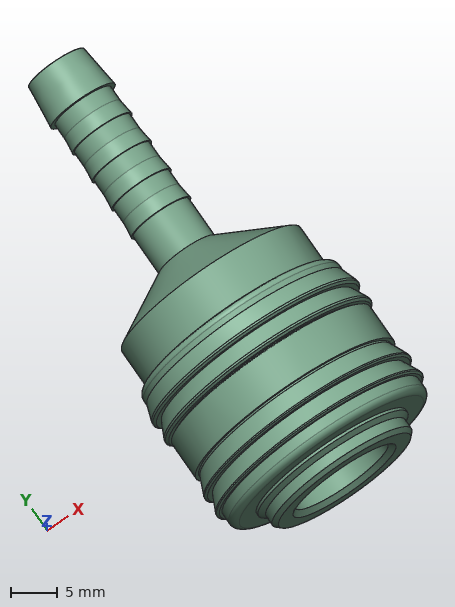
import cadquery as cq

total_length = 55.0

collar_radius = 9.1
collar_chamfer = 0.5
collar_length = 1.7
flange_radius = 9.75
flange_taper_end = 2.2

sleeve_start = 2.55
sleeve_end = 20.45
sleeve_radius = 12.75
sleeve_fillet = 0.8
band_start = 9.45
band_end = 14.0
band_radius = 12.9
band_step = 0.2

rib_diameter = 26.8
rib_radius = rib_diameter / 2
rib_bevel = 0.3
rib_root_radius = 12.5
front_rib_starts = (4.55, 6.8)
front_rib_lip = 0.35
front_rib_end = band_start - band_step
rear_rib_starts = (band_end + band_step, 16.6)
rear_rib_lip = 0.5
rear_rib_end = 19.0

body_radius = 11.65
body_end = 25.45
stem_radius = 3.65
stem_start = 30.1
barb_radius = 3.85
barb_length = 1.8
barb_pitch = 3.75
barb_count = 4
first_barb_start = 35.05
end_barb_radius = 4.2
end_barb_start = 49.95

mouth_radius = 6.65
bore_radius = 6.05
mouth_chamfer = mouth_radius - bore_radius
bore_depth = 22.0
passage_radius = 2.95
passage_step_radius = 3.6
passage_step_depth = 1.1


def revolve_about_y(profile):
    return profile.close().revolve(360, (0, 0, 0), (0, 1, 0))


def cylinder(radius, start, end):
    return cq.Workplane("XZ", origin=(0, start, 0)).circle(radius).extrude(start - end)


def cone_ring(start, start_radius, end, end_radius):
    """Solid frustum from start to end along Y."""
    profile = cq.Workplane("XY").moveTo(0, start).lineTo(start_radius, start)
    return revolve_about_y(profile.lineTo(end_radius, end).lineTo(0, end))


def grip_rib(start, lip, end, end_radius):
    profile = cq.Workplane("XY").moveTo(0, start).lineTo(rib_radius - rib_bevel, start)
    profile = profile.lineTo(rib_radius, start + lip / 2).lineTo(rib_radius, start + lip)
    return revolve_about_y(profile.lineTo(end_radius, end).lineTo(0, end))


def make_collar():
    collar = cylinder(collar_radius, 0, sleeve_start).faces("<Y").edges().chamfer(collar_chamfer)
    taper = cone_ring(collar_length, collar_radius, flange_taper_end, flange_radius)
    return collar.union(taper).union(cylinder(flange_radius, flange_taper_end, sleeve_start))


def make_sleeve():
    front_end = cylinder(sleeve_radius, sleeve_start, front_rib_starts[0])
    rear_end = cylinder(sleeve_radius, rear_rib_end, sleeve_end)
    sleeve = cylinder(rib_root_radius, front_rib_starts[0], rear_rib_end)
    sleeve = sleeve.union(front_end.faces("<Y").edges().fillet(sleeve_fillet))
    sleeve = sleeve.union(rear_end.faces(">Y").edges().fillet(sleeve_fillet))
    sleeve = sleeve.union(cylinder(band_radius, band_start, band_end))
    first, second = front_rib_starts
    third, fourth = rear_rib_starts
    sleeve = sleeve.union(grip_rib(first, front_rib_lip, second, rib_root_radius))
    sleeve = sleeve.union(grip_rib(second, front_rib_lip, front_rib_end, rib_root_radius))
    sleeve = sleeve.union(grip_rib(third, rear_rib_lip, fourth, rib_root_radius))
    return sleeve.union(grip_rib(fourth, rear_rib_lip, rear_rib_end, sleeve_radius))


def make_hose_tail():
    tail = cylinder(stem_radius, stem_start, total_length)
    for index in range(barb_count):
        start = first_barb_start + index * barb_pitch
        tail = tail.union(cone_ring(start, barb_radius, start + barb_length, stem_radius))
    return tail.union(cone_ring(end_barb_start, end_barb_radius, total_length, stem_radius))


def make_bore():
    bore = cylinder(bore_radius, 0, bore_depth)
    bore = bore.union(cone_ring(0, mouth_radius, mouth_chamfer, bore_radius))
    bore = bore.union(cylinder(passage_step_radius, bore_depth, bore_depth + passage_step_depth))
    return bore.union(cylinder(passage_radius, bore_depth, total_length))


rear_body = cylinder(body_radius, sleeve_end, body_end)
shoulder = cone_ring(body_end, body_radius, stem_start, stem_radius)

result = make_collar().union(make_sleeve()).union(rear_body).union(shoulder)
result = result.union(make_hose_tail()).cut(make_bore())